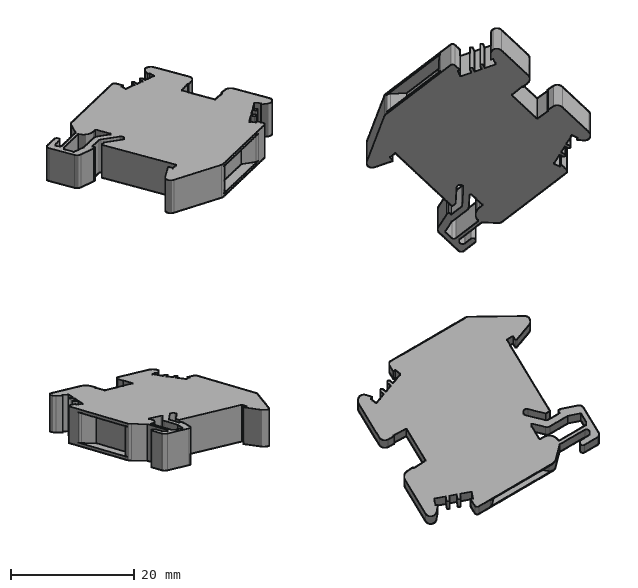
import cadquery as cq
import math


width = 28.0
height = 31.0
thickness = 6.2
half_width = width / 2
shoulder_y = 23.47
shoulder_radius = 0.5
lower_corner_y = 8.6
corner_radius = 1.0

groove_floor_y = 26.47
groove_floor_half = 3.07
catch_y = 28.77
catch_inner_half = 3.15
catch_outer_half = 2.98
catch_drop = 0.1
head_inner_half = 3.1
head_inner_radius = 1.1

flank_angle = math.radians(20)
notch_start_x = 11.3
notch_start_y = 22.7
notch_length = 6.2
notch_depth = 1.12
notch_lip = 0.4
head_slope = math.radians(41)
head_outer_radius = 1.0
rib_width = 0.55
rib_length = 0.9
rib_root = 0.3
rib_spacing = 1.8

funnel_wall = 0.55
funnel_depth = 1.92
funnel_top_y = 20.52
funnel_floor_top_y = 18.6
funnel_bottom_slope = math.radians(40)
funnel_top_radius = 0.62
funnel_cutter_overhang = 0.45

seat_y = 4.95
seat_left_x = -6.32
seat_right_x = 7.4
claw_y = 3.78

strap_left_x = -11.87
strap_width = 0.6
hook_width = 1.0
hook_tip_y = 3.53
hook_gap_floor_y = 1.18
foot_corner_radius = 0.6
foot_toe_x = -8.03
foot_toe_radius = 0.93
claw_tip_x = -6.88
claw_tip_y = 3.35
arm_outer_x = -7.4
arm_thickness = 1.1
arm_inner_radius = 1.0
arm_outer_radius = 0.5
arm_slot_end_x = -4.55
arm_slot_end_y = 8.3
slot_half = (seat_left_x - arm_outer_x) / 2

window_floor_y = 0.85
window_toe_x = -9.2
window_knee_y = 2.88
window_top_y = 8.8
window_step_x = -9.5
window_bulge_y = 6.25
window_floor_radius = 0.5
window_tip_radius = 0.2

fixed_claw_x = 6.5
fixed_claw_radius = 0.15
fixed_foot_inner_slope = math.radians(20)
fixed_foot_outer_slope = math.radians(30)


def rounded_wire(corners):
    """Closed wire through (x, y) or (x, y, radius) corners, with tangent arcs at the radii."""
    same_point = 3.1e-07
    bends = []
    count = len(corners)
    for i, corner in enumerate(corners):
        point = cq.Vector(corner[0], corner[1])
        if len(corner) == 2:
            bends.append((point, None, point))
            continue
        radius = corner[2]
        back = (cq.Vector(*corners[i - 1][:2]) - point).normalized()
        ahead = (cq.Vector(*corners[(i + 1) % count][:2]) - point).normalized()
        half_angle = back.getAngle(ahead) / 2
        trim = radius / math.tan(half_angle)
        bulge = radius / math.sin(half_angle) - radius
        middle = point + (back + ahead).normalized() * bulge
        bends.append((point + back * trim, middle, point + ahead * trim))

    edges = []
    for i, (start, middle, end) in enumerate(bends):
        previous_end = bends[i - 1][2]
        if (start - previous_end).Length > same_point:
            edges.append(cq.Edge.makeLine(previous_end, start))
        if middle is not None:
            edges.append(cq.Edge.makeThreePointArc(start, middle, end))
    return cq.Wire.assembleEdges(edges)


def prism(corners, bottom=0.0, top=thickness):
    """Solid with the given corners as its XY outline, between two Z levels."""
    wire = rounded_wire(corners)
    solid = cq.Solid.extrudeLinear(wire, [], cq.Vector(0, 0, top - bottom))
    return cq.Workplane(solid.moved(cq.Location(cq.Vector(0, 0, bottom))))


def notch_point(along, outward):
    """Point on the right side, measured along the notch floor and outward from it."""
    x = notch_start_x - along * math.sin(flank_angle) + outward * math.cos(flank_angle)
    y = notch_start_y + along * math.cos(flank_angle) + outward * math.sin(flank_angle)
    return x, y


def head_corners():
    """Right half of the top, from the side wall to the floor of the marker groove."""
    tip = notch_point(notch_length - notch_lip, notch_depth)
    notch_foot = notch_point(0, notch_depth)
    shoulder_rise = (shoulder_y - notch_foot[1]) / math.cos(flank_angle)
    head_corner_x = tip[0] + (height - tip[1]) / math.tan(head_slope)
    return [
        (half_width, shoulder_y, shoulder_radius),
        notch_point(shoulder_rise, notch_depth),
        notch_foot,
        notch_point(0, 0),
        notch_point(notch_length, 0),
        notch_point(notch_length, notch_depth),
        tip,
        (head_corner_x, height, head_outer_radius),
        (head_inner_half, height, head_inner_radius),
        (catch_outer_half, catch_y),
        (catch_inner_half, catch_y + catch_drop),
        (groove_floor_half, groove_floor_y),
    ]


def mirrored(corners):
    return [(-corner[0], *corner[1:]) for corner in reversed(corners)]


def arm_diagonal_offset(distance):
    """Value of y - x along a 45 degree line, a distance away from the middle of the arm slot."""
    return arm_slot_end_y - arm_slot_end_x + distance * math.sqrt(2)


def spring_foot_corners():
    """From the left side wall around the hook and the arm to the rail seat."""
    hook_inner_x = -half_width + hook_width
    hook_tip_radius = hook_width / 2
    gap_radius = (strap_left_x - hook_inner_x) / 2
    strap_top_y = lower_corner_y - (strap_left_x + half_width)
    slot_reach = slot_half * math.sqrt(2)
    return [
        (-half_width, lower_corner_y, corner_radius),
        (strap_left_x, strap_top_y),
        (strap_left_x, hook_gap_floor_y, gap_radius),
        (hook_inner_x, hook_gap_floor_y, gap_radius),
        (hook_inner_x, hook_tip_y, hook_tip_radius),
        (-half_width, hook_tip_y, hook_tip_radius),
        (-half_width, 0, foot_corner_radius),
        (foot_toe_x, 0, foot_toe_radius),
        (claw_tip_x, claw_tip_y),
        (claw_tip_x, claw_y),
        (arm_outer_x, claw_y),
        (arm_outer_x, arm_outer_x + arm_diagonal_offset(slot_half), arm_outer_radius),
        (arm_slot_end_x, arm_slot_end_y + slot_reach, slot_half),
        (arm_slot_end_x + slot_reach, arm_slot_end_y, slot_half),
        (seat_left_x, seat_left_x + arm_diagonal_offset(-slot_half)),
        (seat_left_x, seat_y),
    ]


def fixed_foot_corners():
    """From the rail seat around the fixed foot to the right side wall."""
    inner_run = math.tan(fixed_foot_inner_slope)
    outer_run = math.tan(fixed_foot_outer_slope)
    inner_line_x = fixed_claw_x + claw_y * inner_run
    outer_line_x = half_width - lower_corner_y * outer_run
    apex_y = (inner_line_x - outer_line_x) / (inner_run + outer_run)
    apex_x = fixed_claw_x + (claw_y - apex_y) * inner_run
    half_angle = (fixed_foot_inner_slope + fixed_foot_outer_slope) / 2
    lean = (fixed_foot_outer_slope - fixed_foot_inner_slope) / 2
    toe_radius = -apex_y / (math.cos(lean) / math.sin(half_angle) - 1)
    return [
        (seat_right_x, seat_y),
        (seat_right_x, claw_y),
        (fixed_claw_x, claw_y, fixed_claw_radius),
        (apex_x, apex_y, toe_radius),
        (half_width, lower_corner_y, corner_radius),
    ]


def window_corners():
    """Opening between the strap and the arm of the spring foot."""
    left_x = strap_left_x + strap_width
    right_x = arm_outer_x - arm_thickness
    bulge_radius = window_step_x - left_x
    diagonal_offset = arm_diagonal_offset(slot_half + arm_thickness)
    return [
        (left_x, window_floor_y, window_floor_radius),
        (window_toe_x, window_floor_y),
        (right_x, window_knee_y),
        (right_x, right_x + diagonal_offset, arm_inner_radius),
        (window_top_y - diagonal_offset, window_top_y, window_tip_radius),
        (window_step_x, window_top_y),
        (window_step_x, window_bulge_y, bulge_radius),
        (left_x, window_bulge_y),
    ]


def rib(along):
    """Round-tipped rib standing on the floor of the right notch."""
    half = rib_width / 2
    return prism([
        notch_point(along - half, -rib_root),
        (*notch_point(along - half, rib_length), half),
        (*notch_point(along + half, rib_length), half),
        notch_point(along + half, -rib_root),
    ])


def wire_funnel():
    """Cutter for the funnel in the left side wall; its mouth blends into the wall with arcs."""
    wall_x = -half_width
    floor_x = wall_x + funnel_depth
    outside_x = wall_x - funnel_cutter_overhang
    arc_end_y = lower_corner_y + corner_radius * math.tan(math.radians(45) / 2)
    bottom_y = arc_end_y + corner_radius * math.tan(funnel_bottom_slope / 2)
    floor_bottom_y = bottom_y + funnel_depth / math.tan(funnel_bottom_slope)
    return prism(
        [
            (outside_x, funnel_top_y + funnel_cutter_overhang),
            (outside_x, arc_end_y),
            (wall_x, arc_end_y),
            (wall_x, bottom_y, corner_radius),
            (floor_x, floor_bottom_y),
            (floor_x, funnel_floor_top_y),
            (wall_x, funnel_top_y, funnel_top_radius),
            (wall_x, funnel_top_y + funnel_cutter_overhang),
        ],
        funnel_wall,
        thickness - funnel_wall,
    )


def on_both_sides(shape):
    return [shape, shape.mirror("YZ")]


outline = mirrored(head_corners()) + spring_foot_corners() + fixed_foot_corners() + head_corners()
body = prism(outline).cut(prism(window_corners()))

for offset in (-rib_spacing / 2, rib_spacing / 2):
    for side_rib in on_both_sides(rib(notch_length / 2 + offset)):
        body = body.union(side_rib)

for funnel in on_both_sides(wire_funnel()):
    body = body.cut(funnel)

result = body.clean()